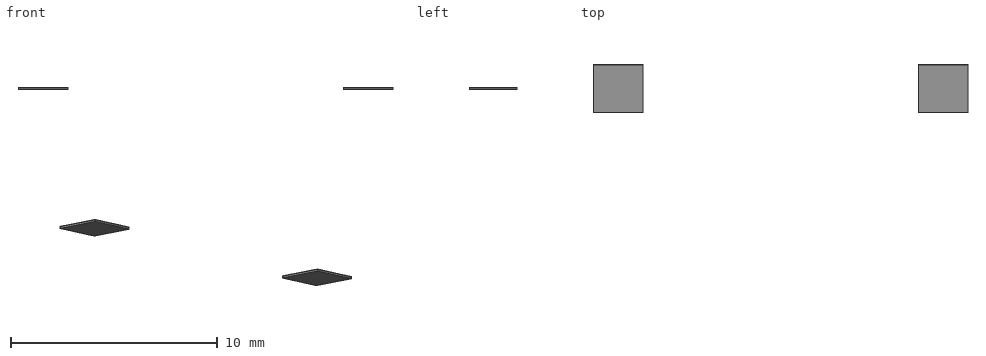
import cadquery as cq

overall_length = 18.12
pad_width = 2.32
pad_thickness = 0.1

pad_length = 2.41
pad_offset = (overall_length - pad_length) / 2


def make_pad(center_x):
    """Flat rectangular pad centred on the X axis, resting on the Z = 0 plane."""
    return (
        cq.Workplane("XY")
        .center(center_x, 0)
        .rect(pad_length, pad_width)
        .extrude(pad_thickness)
    )


pads = [make_pad(side * pad_offset) for side in (-1, 1)]

result = cq.Compound.makeCompound([pad.val() for pad in pads])